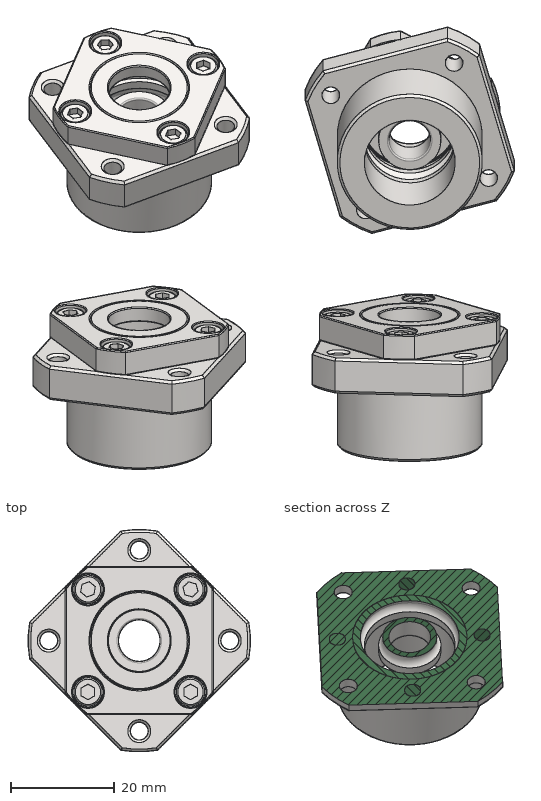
import cadquery as cq
import math

total_height = 26.0
flange_bottom = 14.0
flange_top = 21.0
cover_height = total_height - flange_top

flange_diameter = 42.95
flange_across_flats = 34.98
flange_chamfer = 0.5
boss_diameter = 28.0
boss_chamfer = 0.5
mount_circle_radius = 17.5
mount_hole_diameter = 3.4
mount_hole_chamfer = 0.5
mount_hole_angles = (0, 90, 180, 270)
flange_turn = 45

cover_width = 28.6
cover_corner_diameter = flange_across_flats
cover_chamfer = 0.2
cover_bore_diameter = 19.0
bore_chamfer = 0.2
spigot_depth = 2.0
spigot_bore_diameter = 19.42

seal_bore_diameter = 11.9
seal_height = 3.0
seal_bottom = total_height - seal_height
seal_chamfer = 0.2

bearing_top = flange_top - spigot_depth
bearing_height = 7.0
bearing_bottom = bearing_top - bearing_height
outer_ring_diameter = 22.0
outer_ring_bore_diameter = 17.55
inner_ring_diameter = 12.05
inner_ring_bore_diameter = 8.0
inner_ring_fillet = 0.3
raceway_circle_radius = (outer_ring_bore_diameter + inner_ring_diameter) / 4
raceway_profile_radius = 2.2

screw_circle_radius = 14.0
screw_diameter = 3.0
screw_head_diameter = 5.5
screw_head_height = 3.0
screw_head_chamfer = 0.3
screw_head_recess = 0.5
screw_depth_in_housing = 5.0
socket_sides = 6
socket_across_corners = 3.0
socket_depth = 1.5
counterbore_diameter = 5.97
counterbore_chamfer = 0.195
screw_head_top = total_height - screw_head_recess
screw_seat = screw_head_top - screw_head_height
screw_tip = flange_top - screw_depth_in_housing
screw_angles = [(45, 104), (135, 80), (225, 90), (315, 90)]


def disc(diameter, bottom, top):
    """Cylinder on the Z axis between two heights."""
    return cq.Workplane("XY").workplane(offset=bottom).circle(diameter / 2).extrude(top - bottom)


def on_circle(radius, angle):
    return (radius * math.cos(math.radians(angle)), radius * math.sin(math.radians(angle)))


def drill(body, diameter, point, bottom, top):
    return body.cut(disc(diameter, bottom, top).translate((*point, 0)))


def countersink(diameter, chamfer, top):
    """Cone that chamfers the upper rim of a hole."""
    return (
        cq.Workplane("XY")
        .workplane(offset=top)
        .circle(diameter / 2 + chamfer)
        .workplane(offset=-chamfer)
        .circle(diameter / 2)
        .loft(ruled=True)
    )


def make_housing():
    square = (
        cq.Workplane("XY")
        .workplane(offset=flange_bottom)
        .rect(flange_across_flats, flange_across_flats)
        .extrude(flange_top - flange_bottom)
        .rotate((0, 0, 0), (0, 0, 1), flange_turn)
    )
    flange = square.intersect(disc(flange_diameter, flange_bottom, flange_top))
    flange = flange.faces("<Z or >Z").chamfer(flange_chamfer)
    boss = disc(boss_diameter, 0, flange_bottom).faces("<Z").chamfer(boss_chamfer)
    housing = flange.union(boss)
    housing = housing.cut(disc(outer_ring_diameter, bearing_bottom, flange_top))
    housing = housing.cut(disc(outer_ring_bore_diameter, 0, bearing_bottom))
    for angle in mount_hole_angles:
        point = on_circle(mount_circle_radius, angle)
        housing = drill(housing, mount_hole_diameter, point, flange_bottom, flange_top)
        sink = countersink(mount_hole_diameter, mount_hole_chamfer, flange_top)
        housing = housing.cut(sink.translate((*point, 0)))
    for angle, _ in screw_angles:
        point = on_circle(screw_circle_radius, angle)
        housing = drill(housing, screw_diameter, point, screw_tip, flange_top)
    return housing


def make_cover():
    square = (
        cq.Workplane("XY")
        .workplane(offset=flange_top)
        .rect(cover_width, cover_width)
        .extrude(cover_height)
    )
    plate = square.intersect(disc(cover_corner_diameter, flange_top, total_height))
    plate = plate.faces("<Z or >Z").chamfer(cover_chamfer)
    cover = plate.union(disc(outer_ring_diameter, bearing_top, flange_top))
    cover = cover.cut(disc(cover_bore_diameter, bearing_top, total_height))
    cover = cover.cut(disc(spigot_bore_diameter, bearing_top, seal_bottom))
    cover = cover.cut(countersink(cover_bore_diameter, bore_chamfer, total_height))
    for angle, _ in screw_angles:
        point = on_circle(screw_circle_radius, angle)
        cover = drill(cover, screw_diameter, point, flange_top, screw_seat)
        cover = drill(cover, counterbore_diameter, point, screw_seat, total_height)
        sink = countersink(counterbore_diameter, counterbore_chamfer, total_height)
        cover = cover.cut(sink.translate((*point, 0)))
    return cover


def make_seal():
    seal = disc(cover_bore_diameter, seal_bottom, total_height)
    seal = seal.cut(disc(seal_bore_diameter, seal_bottom, total_height))
    return seal.edges().chamfer(seal_chamfer)


def make_raceway():
    """Ring of round section that the balls would sweep, halfway up the bearing."""
    return (
        cq.Workplane("XZ")
        .center(raceway_circle_radius, (bearing_top + bearing_bottom) / 2)
        .circle(raceway_profile_radius)
        .revolve(360, (-raceway_circle_radius, 0), (-raceway_circle_radius, 1))
    )


def make_outer_ring():
    ring = disc(outer_ring_diameter, bearing_bottom, bearing_top)
    ring = ring.cut(disc(outer_ring_bore_diameter, bearing_bottom, bearing_top))
    return ring.cut(make_raceway())


def make_inner_ring():
    ring = disc(inner_ring_diameter, bearing_bottom, bearing_top)
    bore = disc(inner_ring_bore_diameter, bearing_bottom, bearing_top)
    ring = ring.cut(bore).edges(cq.selectors.RadiusNthSelector(0)).fillet(inner_ring_fillet)
    return ring.cut(make_raceway())


def make_screw(angle, socket_angle):
    head = disc(screw_head_diameter, screw_seat, screw_head_top).faces(">Z").chamfer(screw_head_chamfer)
    shank = disc(screw_diameter, screw_tip, screw_seat)
    socket = (
        cq.Workplane("XY")
        .workplane(offset=screw_head_top - socket_depth)
        .polygon(socket_sides, socket_across_corners)
        .extrude(socket_depth)
        .rotate((0, 0, 0), (0, 0, 1), socket_angle)
    )
    return head.union(shank).cut(socket).translate((*on_circle(screw_circle_radius, angle), 0))


housing = make_housing()
cover = make_cover()
seal = make_seal()
outer_ring = make_outer_ring()
inner_ring = make_inner_ring()
screws = [make_screw(*angles) for angles in screw_angles]

result = cq.Compound.makeCompound(
    [housing.val(), cover.val(), seal.val(), outer_ring.val(), inner_ring.val()]
    + [screw.val() for screw in screws]
)